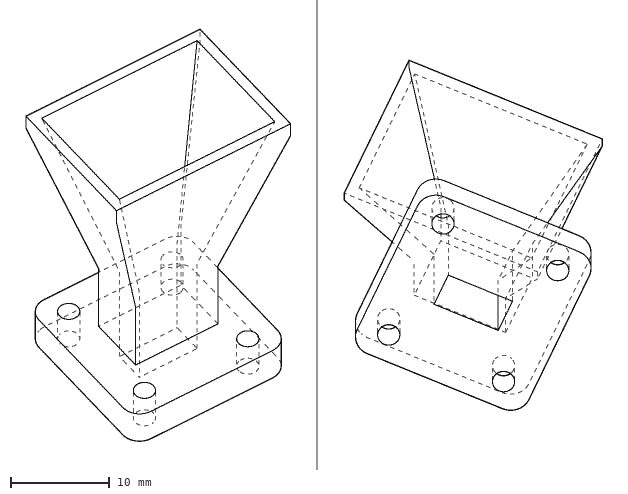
import cadquery as cq

flange_side = 19.05
flange_thickness = 4.0
flange_corner_radius = 2.05
hole_diameter = 2.25
hole_spacing_x = 13.45
hole_spacing_y = 12.7

neck_x = 6.6
neck_y = 10.13
bore_x = 3.55
bore_y = 7.1

mouth_outer_x = 16.1
mouth_outer_y = 21.42
mouth_wall = 1.15
mouth_inner_x = mouth_outer_x - 2 * mouth_wall
mouth_inner_y = mouth_outer_y - 2 * mouth_wall

total_height = 34.0
rim_height = 1.77
neck_top = 12.45
rim_bottom = total_height - rim_height


def box_between(size_x, size_y, bottom, top):
    """Centred rectangular block between two heights."""
    return cq.Workplane("XY").workplane(offset=bottom).rect(size_x, size_y).extrude(top - bottom)


def taper_between(bottom_size, top_size, bottom, top):
    """Centred rectangular frustum between two heights."""
    return (
        cq.Workplane("XY")
        .workplane(offset=bottom)
        .rect(*bottom_size)
        .workplane(offset=top - bottom)
        .rect(*top_size)
        .loft(ruled=True)
    )


def make_flange():
    """Rounded square plate with four through holes."""
    plate = box_between(flange_side, flange_side, 0, flange_thickness)
    return (
        plate.edges("|Z")
        .fillet(flange_corner_radius)
        .faces(">Z")
        .workplane()
        .rect(hole_spacing_x, hole_spacing_y, forConstruction=True)
        .vertices()
        .hole(hole_diameter)
    )


def make_horn():
    """Straight neck, flared body and straight-sided rim."""
    neck = box_between(neck_x, neck_y, flange_thickness, neck_top)
    flare = taper_between((neck_x, neck_y), (mouth_outer_x, mouth_outer_y), neck_top, rim_bottom)
    rim = box_between(mouth_outer_x, mouth_outer_y, rim_bottom, total_height)
    return neck.union(flare).union(rim)


def make_passage():
    """Straight bore through flange and neck, opening evenly to the mouth."""
    bore = box_between(bore_x, bore_y, 0, neck_top)
    opening = taper_between((bore_x, bore_y), (mouth_inner_x, mouth_inner_y), neck_top, total_height)
    return bore.union(opening)


result = make_flange().union(make_horn()).cut(make_passage())